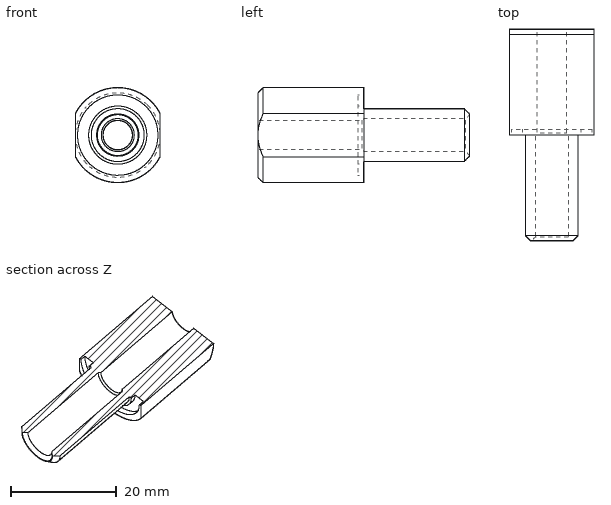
import cadquery as cq

total_length = 40.0
body_length = 20.0
body_diameter = 18.0
width_across_flats = 16.0
stud_diameter = 10.0
edge_chamfer = 1.0

recess_diameter = 15.2
collar_diameter = 11.0
recess_depth = 1.05

bore_diameter = 6.25
small_bore_diameter = 5.5
mouth_diameter = 7.7
bore_depth = body_length

stud_length = total_length - body_length


def cylinder(diameter, start, length):
    """Cylinder on the Y axis from y = start towards +Y."""
    return cq.Workplane("XZ", origin=(0, start, 0)).circle(diameter / 2).extrude(-length)


def make_body():
    """Round body with a chamfered far end and two flats facing -X and +X."""
    body = cylinder(body_diameter, 0, body_length).faces(">Y").chamfer(edge_chamfer)
    flats = cq.Workplane("XY").box(width_across_flats, 2 * body_length, body_diameter)
    return body.intersect(flats)


def make_stud():
    """Stud towards -Y with a chamfered tip."""
    return cylinder(stud_diameter, -stud_length, stud_length).faces("<Y").chamfer(edge_chamfer)


def make_recess():
    """Ring-shaped cutter that leaves the collar standing."""
    collar = cylinder(collar_diameter, 0, recess_depth)
    return cylinder(recess_diameter, 0, recess_depth).cut(collar)


def make_bore():
    """Stepped through bore, with 45 degree cones at the mouth and at the step."""
    tip = -stud_length
    mouth_radius = mouth_diameter / 2
    bore_radius = bore_diameter / 2
    small_radius = small_bore_diameter / 2
    mouth_end = tip + mouth_radius - bore_radius
    step_start = tip + bore_depth
    step_end = step_start + bore_radius - small_radius
    half_profile = cq.Workplane("XY").polyline(
        [
            (0, tip),
            (mouth_radius, tip),
            (bore_radius, mouth_end),
            (bore_radius, step_start),
            (small_radius, step_end),
            (small_radius, body_length),
            (0, body_length),
        ]
    ).close()
    return half_profile.revolve(360, (0, 0, 0), (0, 1, 0))


result = make_body().union(make_stud()).cut(make_recess()).cut(make_bore())